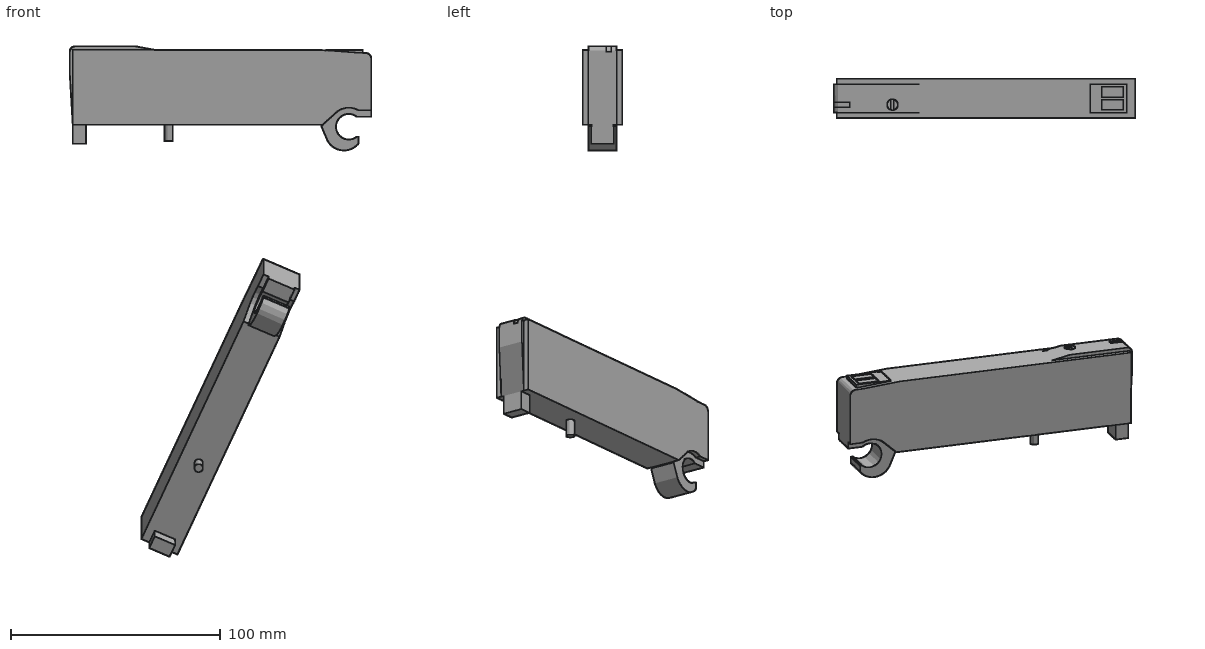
import cadquery as cq
import math

length = 143.8
width = 18.8
core_width = 13.5
housing_start = 1.5
housing_top = 35.8
slope_start = 118.8
end_block_start = 137.8
end_block_top = 34.4
end_block_bottom = 3.9
side_wall_bottom = 7.0
end_radius = 2.9

hole_x = 133.0
hole_z = -0.9
hole_radius = 6.0
relief_radius = 9.0
hook_x = 130.7
hook_radius = 8.9
hook_bottom = -12.2
hook_z = hook_bottom + hook_radius
hook_root_x = 120.5
hook_shoulder = (120.0, -0.7)
hook_tangent_x = 122.8

cap_top = 37.5
cap_radius = 2.7
cap_flat_end = 31.3
cap_end = 40.5
cap_taper_top = 24.6

mark_y = -3.0
mark_depth = 0.1
screw_slot_depth = 0.3
groove_end = 7.6
groove_width = 2.3
screw_x = 28.0
screw_diameter = 5.2
screw_slot_width = 1.5

insert_start = 122.2
insert_end = 139.8
pocket_start = 127.8
pocket_end = 137.9
pocket_width = 4.9
pocket_gap = 1.3
pocket_depth = 0.3

foot_end = 7.9
foot_width = 10.6
foot_height = 9.0
pin_x = 47.2
pin_diameter = 4.0
pin_height = 7.8


def plate(profile, thickness):
    """Extrude a closed XZ profile symmetrically about Y = 0."""
    return profile.close().extrude(thickness / 2, both=True)


def block(x_start, x_end, y_center, y_width, z_bottom, z_top):
    return cq.Workplane("XY").box(x_end - x_start, y_width, z_top - z_bottom).translate(
        ((x_start + x_end) / 2, y_center, (z_bottom + z_top) / 2)
    )


def cylinder(x_center, y_center, diameter, z_bottom, z_top):
    base = cq.Workplane("XY", origin=(x_center, y_center, z_bottom)).circle(diameter / 2)
    return base.extrude(z_top - z_bottom)


def arc_point(x_center, z_center, radius, angle):
    return (x_center + radius * math.cos(angle), z_center + radius * math.sin(angle))


def make_housing():
    """Full-width body with a curved relief around the hook."""
    root_dx = hook_root_x - hole_x
    root_dz = -hole_z
    root_angle = math.atan2(root_dz, root_dx)
    touch_angle = root_angle - math.acos(relief_radius / math.hypot(root_dx, root_dz))
    relief_rise = side_wall_bottom - hole_z
    relief_end_x = hole_x + math.sqrt(relief_radius**2 - relief_rise**2)
    corner = arc_point(length - end_radius, end_block_top - end_radius, end_radius, math.pi / 4)
    profile = (
        cq.Workplane("XZ")
        .moveTo(housing_start, 0)
        .lineTo(housing_start, housing_top)
        .lineTo(slope_start, housing_top)
        .lineTo(end_block_start, end_block_top)
        .lineTo(length - end_radius, end_block_top)
        .threePointArc(corner, (length, end_block_top - end_radius))
        .lineTo(length, side_wall_bottom)
        .lineTo(relief_end_x, side_wall_bottom)
        .threePointArc(
            (hole_x, hole_z + relief_radius),
            arc_point(hole_x, hole_z, relief_radius, touch_angle),
        )
        .lineTo(hook_root_x, 0)
    )
    return plate(profile, width)


def make_hook():
    """Narrow hook that joins the housing above the round opening."""
    mouth_rise = end_block_bottom - hole_z
    mouth_x = hole_x + math.sqrt(hole_radius**2 - mouth_rise**2)
    mouth_bottom = hole_z - mouth_rise
    tip_z = hook_z - math.sqrt(hook_radius**2 - (end_block_start - hook_x) ** 2)
    arc_start_z = hook_z - math.sqrt(hook_radius**2 - (hook_tangent_x - hook_x) ** 2)
    profile = (
        cq.Workplane("XZ")
        .moveTo(hook_root_x, 0)
        .lineTo(*hook_shoulder)
        .lineTo(hook_tangent_x, arc_start_z)
        .threePointArc((hook_x, hook_bottom), (end_block_start, tip_z))
        .lineTo(end_block_start, mouth_bottom)
        .lineTo(mouth_x, mouth_bottom)
        .threePointArc((hole_x - hole_radius, hole_z), (mouth_x, end_block_bottom))
        .lineTo(length, end_block_bottom)
        .lineTo(length, side_wall_bottom + relief_radius)
        .lineTo(hook_root_x, side_wall_bottom + relief_radius)
    )
    return plate(profile, core_width)


def make_cap():
    """Raised cap with a rounded top corner and a tapered -X face."""
    corner = arc_point(cap_radius, cap_top - cap_radius, cap_radius, 3 * math.pi / 4)
    profile = (
        cq.Workplane("XZ")
        .moveTo(housing_start, 0)
        .lineTo(0, cap_taper_top)
        .lineTo(0, cap_top - cap_radius)
        .threePointArc(corner, (cap_radius, cap_top))
        .lineTo(cap_flat_end, cap_top)
        .lineTo(cap_end, housing_top)
        .lineTo(cap_end, 0)
    )
    return plate(profile, core_width)


def make_cap_marks():
    """Strip recess that follows the rounded corner, and a slotted screw head."""
    center_z = cap_top - cap_radius
    inner_radius = cap_radius - mark_depth
    corner_angle = 3 * math.pi / 4
    strip = (
        cq.Workplane("XZ")
        .moveTo(0, center_z)
        .threePointArc(arc_point(cap_radius, center_z, cap_radius, corner_angle), (cap_radius, cap_top))
        .lineTo(groove_end, cap_top)
        .lineTo(groove_end, cap_top - mark_depth)
        .lineTo(cap_radius, cap_top - mark_depth)
        .threePointArc(
            arc_point(cap_radius, center_z, inner_radius, corner_angle),
            (mark_depth, center_z),
        )
    )
    groove = plate(strip, groove_width).translate((0, mark_y, 0))
    disc_floor = cap_top - mark_depth
    slot_floor = disc_floor - screw_slot_depth
    disc = cylinder(screw_x, mark_y, screw_diameter, disc_floor, cap_top)
    slot = block(
        screw_x - screw_slot_width / 2,
        screw_x + screw_slot_width / 2,
        mark_y,
        screw_diameter,
        slot_floor,
        cap_top,
    ).intersect(cylinder(screw_x, mark_y, screw_diameter, slot_floor, cap_top))
    return groove.union(disc).union(slot)


def make_insert():
    """Level connector insert with two shallow rectangular pockets."""
    insert = block(insert_start, insert_end, 0, core_width, side_wall_bottom + relief_radius, housing_top)
    for side in (-1, 1):
        pocket_y = side * (pocket_width + pocket_gap) / 2
        insert = insert.cut(
            block(
                pocket_start,
                pocket_end,
                pocket_y,
                pocket_width,
                housing_top - pocket_depth,
                housing_top,
            )
        )
    return insert


foot = block(housing_start, foot_end, 0, foot_width, -foot_height, housing_top / 2)
pin = cylinder(pin_x, 0, pin_diameter, -pin_height, housing_top / 2)

result = make_housing().union(make_hook()).union(make_cap()).cut(make_cap_marks())
result = result.union(make_insert()).union(foot).union(pin)